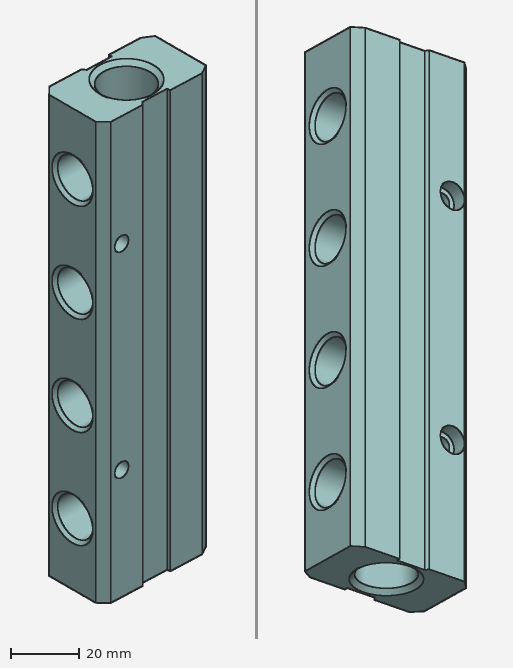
import cadquery as cq
width = 26.0
depth = 44.0
length = 170.0

front_chamfer = 3.0
back_chamfer_x = 2.2
back_chamfer_y = 3.7

groove_depth = 1.2
groove_back_y = 5.3
groove_front_y = -5.0
groove_slope_run = 0.8

bore_diameter = 18.7
bore_mouth_diameter = 22.0

port_count = 4
port_pitch = 40.0
port_diameter = 15.0
port_mouth_diameter = 17.3

mount_diameter = 5.6
mount_head_diameter = 9.0
mount_head_depth = 5.0
mount_y = -14.5
mount_spacing = 2 * port_pitch


def make_body():
    """Extrude the grooved, chamfered cross-section along Z."""
    half_width = width / 2
    half_depth = depth / 2
    groove_x = half_width - groove_depth
    right_side = [
        (half_width - front_chamfer, -half_depth),
        (half_width, -half_depth + front_chamfer),
        (half_width, groove_front_y - groove_slope_run),
        (groove_x, groove_front_y),
        (groove_x, groove_back_y),
        (half_width, groove_back_y),
        (half_width, half_depth - back_chamfer_y),
        (half_width - back_chamfer_x, half_depth),
    ]
    left_side = [(-x, y) for x, y in reversed(right_side)]
    profile = cq.Workplane("XY").workplane(offset=-length / 2).polyline(right_side + left_side).close()
    return profile.extrude(length)


def bore_with_countersinks(diameter, mouth_diameter, span):
    """Cutter along Z, centred on the origin, with a 45 degree countersink at each end."""
    radius = diameter / 2
    mouth_radius = mouth_diameter / 2
    sink_depth = mouth_radius - radius
    half_span = span / 2
    outline = [
        (0, -half_span),
        (mouth_radius, -half_span),
        (radius, -half_span + sink_depth),
        (radius, half_span - sink_depth),
        (mouth_radius, half_span),
        (0, half_span),
    ]
    return cq.Workplane("XZ").polyline(outline).close().revolve(360, (0, 0), (0, 1))


def make_mount_hole():
    """Cutter along X: a through hole counterbored from the -X side."""
    hole = cq.Workplane("YZ").circle(mount_diameter / 2).extrude(width / 2, both=True)
    head = cq.Workplane("YZ", origin=(-width / 2, 0, 0)).circle(mount_head_diameter / 2).extrude(mount_head_depth)
    return hole.union(head)


result = make_body().cut(bore_with_countersinks(bore_diameter, bore_mouth_diameter, length))

port = bore_with_countersinks(port_diameter, port_mouth_diameter, depth).rotate((0, 0, 0), (1, 0, 0), 90)
for index in range(port_count):
    port_z = (index - (port_count - 1) / 2) * port_pitch
    result = result.cut(port.translate((0, 0, port_z)))

mount_hole = make_mount_hole()
for mount_z in (-mount_spacing / 2, mount_spacing / 2):
    result = result.cut(mount_hole.translate((0, mount_y, mount_z)))